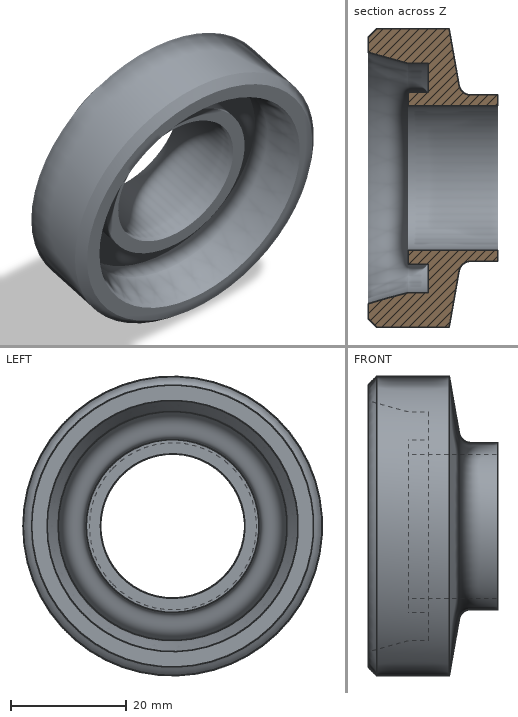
import cadquery as cq
import math

total_length = 22.5
outer_radius = 52 / 2
rim_chamfer = 1.5
rim_length = 14.1

neck_radius = 29.0 / 2
back_cone_angle = math.radians(10)
neck_fillet_radius = 2.0

recess_mouth_radius = 43.65 / 2
recess_floor_radius = 39.8 / 2
recess_depth = 10.4

boss_radius = 30.0 / 2
boss_face_depth = 6.9
recess_taper_depth = boss_face_depth

bore_radius = 25.0 / 2

fillet_center_radius = neck_radius + neck_fillet_radius
cone_touch_radius = fillet_center_radius - neck_fillet_radius * math.sin(back_cone_angle)
cone_touch_x = rim_length + (outer_radius - cone_touch_radius) * math.tan(back_cone_angle)
fillet_center_x = cone_touch_x + neck_fillet_radius * math.cos(back_cone_angle)
arc_middle_angle = (math.pi / 2 - back_cone_angle) / 2 + back_cone_angle
arc_middle = (
    fillet_center_x - neck_fillet_radius * math.cos(arc_middle_angle),
    fillet_center_radius - neck_fillet_radius * math.sin(arc_middle_angle),
)

half_section = (
    cq.Workplane("XY")
    .moveTo(0, recess_mouth_radius)
    .lineTo(0, outer_radius - rim_chamfer)
    .lineTo(rim_chamfer, outer_radius)
    .lineTo(rim_length, outer_radius)
    .lineTo(cone_touch_x, cone_touch_radius)
    .threePointArc(arc_middle, (fillet_center_x, neck_radius))
    .lineTo(total_length, neck_radius)
    .lineTo(total_length, bore_radius)
    .lineTo(boss_face_depth, bore_radius)
    .lineTo(boss_face_depth, boss_radius)
    .lineTo(recess_depth, boss_radius)
    .lineTo(recess_depth, recess_floor_radius)
    .lineTo(recess_taper_depth, recess_floor_radius)
    .close()
)

result = half_section.revolve(360, (0, 0, 0), (1, 0, 0))